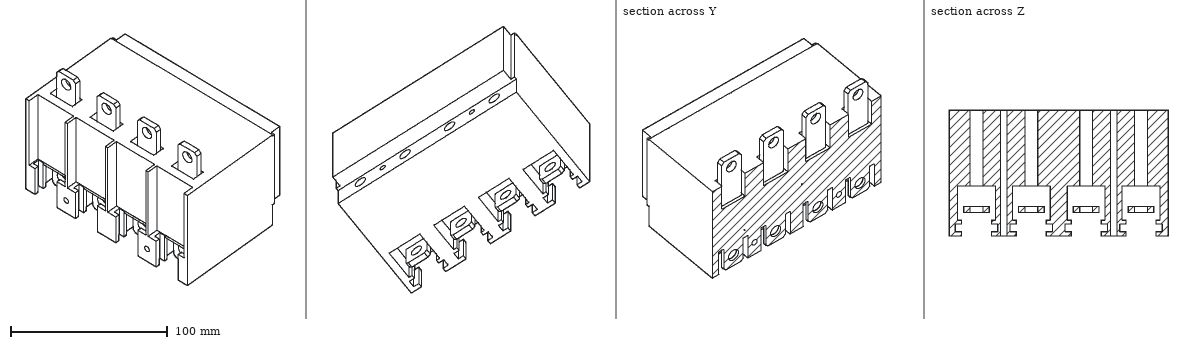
import cadquery as cq

WIDTH = 140.0
BODY_DEPTH = 80.5
BODY_HEIGHT = 76.0
POLE_PITCH = 35.0
POLE_COUNT = 4
POLES = [POLE_PITCH * (i + 0.5) for i in range(POLE_COUNT)]

COVER_BOTTOM = 17.0
COVER_TOP = 75.0
FLANGE_BACK = 82.5
PLATE_BACK = 90.5
PLATE_INSET = 3.0

SIDE_WALL = 3.0
RIB = 2.0
BAY_DEPTH = 8.25
BAY_BOTTOM = 21.75

SLOT_WIDTH = 27.0
SLOT_MOUTH = 19.0
LIP = 3.0
WALL_FRONT = 7.75
WALL_BACK = 10.25
WALL_OPENING_TOP = 19.75
HEADER_FRONT = 8.3

CHAMBER_WIDTH = 24.0
CHAMBER_BACK = 32.0

POCKET_FRONT = 14.5
POCKET_BACK = 23.75
POCKET_DEPTH = 20.0
OUTER_POCKET_WIDTH = 19.0
INNER_POCKET_WIDTH = 20.0

TAB_WIDTH = 16.5
TAB_THICKNESS = 4.0
TAB_CHAMFER = 2.0
TAB_HOLE = 8.0
TAB_OVERLAP = 1.0
UPPER_TAB_FRONT = 19.0
UPPER_TAB_TOP = 93.5
UPPER_HOLE_Z = 86.0
LOWER_TAB_FRONT = 15.0
LOWER_TAB_BOTTOM = 0.5
LOWER_HOLE_Z = 10.0

MOUNT_HOLE = 4.0
MOUNT_HOLE_Z = 10.6
MOUNT_HOLE_XS = [POLE_PITCH, WIDTH - POLE_PITCH]


def block(x_min, x_max, y_min, y_max, z_min, z_max):
    """Axis-aligned box given by its limits."""
    size = (x_max - x_min, y_max - y_min, z_max - z_min)
    return cq.Workplane("XY").box(*size, centered=False).translate((x_min, y_min, z_min))


def centred_block(x, width, y_min, y_max, z_min, z_max):
    """Box centred on x, given by its width and its Y and Z limits."""
    return block(x - width / 2, x + width / 2, y_min, y_max, z_min, z_max)


def hole_along_y(x, z, diameter):
    """Round cutter running through the whole depth of the part."""
    return cq.Workplane("XZ").center(x, z).circle(diameter / 2).extrude(-PLATE_BACK)


def housing():
    """Main box with the stepped cover at the rear."""
    body = block(0, WIDTH, 0, BODY_DEPTH, 0, BODY_HEIGHT)
    flange = block(0, WIDTH, BODY_DEPTH, FLANGE_BACK, COVER_BOTTOM, COVER_TOP)
    plate = block(PLATE_INSET, WIDTH - PLATE_INSET, FLANGE_BACK, PLATE_BACK, COVER_BOTTOM, COVER_TOP)
    return body.union(flange).union(plate)


def front_bay(x):
    """Cutter for the tall bay in front of one pole."""
    x_min = max(x - POLE_PITCH / 2 + RIB / 2, SIDE_WALL)
    x_max = min(x + POLE_PITCH / 2 - RIB / 2, WIDTH - SIDE_WALL)
    return block(x_min, x_max, 0, BAY_DEPTH, BAY_BOTTOM, BODY_HEIGHT)


def lower_recess(x):
    """Cutter for the T-slot, the header step, the wall opening and the chamber of one pole."""
    mouth = centred_block(x, SLOT_MOUTH, 0, HEADER_FRONT, 0, BAY_BOTTOM)
    slot = centred_block(x, SLOT_WIDTH, LIP, WALL_FRONT, 0, BAY_BOTTOM)
    opening = centred_block(x, SLOT_MOUTH, HEADER_FRONT, WALL_BACK, 0, WALL_OPENING_TOP)
    chamber = centred_block(x, CHAMBER_WIDTH, WALL_BACK, CHAMBER_BACK, 0, WALL_OPENING_TOP)
    return mouth.union(slot).union(opening).union(chamber)


def upper_pocket(x):
    """Cutter for the pocket around one upper tab."""
    is_outer = x in (POLES[0], POLES[-1])
    width = OUTER_POCKET_WIDTH if is_outer else INNER_POCKET_WIDTH
    floor = BODY_HEIGHT - POCKET_DEPTH
    return centred_block(x, width, POCKET_FRONT, POCKET_BACK, floor, BODY_HEIGHT)


def tab(x, y_front, z_min, z_max, free_end):
    """Flat terminal with two chamfered corners at its free end."""
    plate = centred_block(x, TAB_WIDTH, y_front, y_front + TAB_THICKNESS, z_min, z_max)
    return plate.faces(free_end).edges("|Y").chamfer(TAB_CHAMFER)


result = housing()
for pole in POLES:
    result = result.cut(front_bay(pole)).cut(lower_recess(pole)).cut(upper_pocket(pole))

for pole in POLES:
    upper_root = BODY_HEIGHT - POCKET_DEPTH - TAB_OVERLAP
    lower_root = WALL_OPENING_TOP + TAB_OVERLAP
    result = result.union(tab(pole, UPPER_TAB_FRONT, upper_root, UPPER_TAB_TOP, ">Z"))
    result = result.union(tab(pole, LOWER_TAB_FRONT, LOWER_TAB_BOTTOM, lower_root, "<Z"))

for pole in POLES:
    result = result.cut(hole_along_y(pole, UPPER_HOLE_Z, TAB_HOLE))
    result = result.cut(hole_along_y(pole, LOWER_HOLE_Z, TAB_HOLE))

for mount_x in MOUNT_HOLE_XS:
    result = result.cut(hole_along_y(mount_x, MOUNT_HOLE_Z, MOUNT_HOLE))